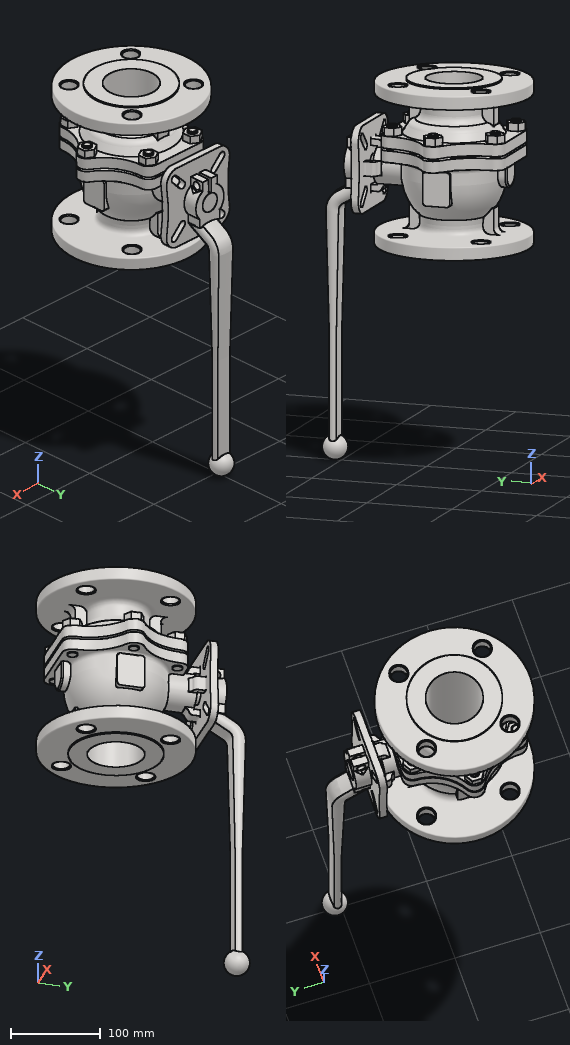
import cadquery as cq
import math


overall_height = 444.5
overall_depth = 243.5

bore_radius = 32.0
flange_radius = 89.0
flange_thickness = 16.0
flange_edge_fillet = 2.0
raised_face_radius = 53.5
raised_face_height = 2.0
valve_top = 103.5
valve_bottom = -87.5
bolt_hole_diameter = 19.0
bolt_hole_chamfer = 1.5
bolt_hole_offset = 49.0
upper_flange_bottom = valve_top - raised_face_height - flange_thickness
lower_flange_top = valve_bottom + raised_face_height + flange_thickness

stud_circle_radius = 70.2
stud_radius = 6.0
stud_tip_chamfer = 1.5
stud_tip_height = 2.5
stud_end_height = 1.5
lug_radius = 12.0
joint_top = 42.0
joint_gap_top = 28.0
joint_gap_bottom = 25.5
joint_bottom = 12.0
spigot_radius = 58.0
nut_across_flats = 19.5
nut_height = 9.5
stud_top = joint_top + nut_height + stud_tip_height
stud_bottom = joint_bottom - stud_end_height

upper_neck_radius = 37.5
lower_neck_radius = 38.2
neck_fillet = 8.5
ball_housing_radius = 58.5
ball_housing_z = -6.5
housing_flare = 5.0
lower_neck_top = -57.5

rib_width = 18.0
rib_reach = 50.0
rib_foot_fillet = 7.0
upper_rib_bottom = 46.5
lower_rib_top = -40.0
side_pad_reach = 59.5
side_pad_width = 32.0
side_pad_top = 8.5
side_pad_bottom = -31.0
side_pad_corner = 4.0
boss_radius = 15.0
boss_centre_z = -1.5
boss_reach = 67.0
boss_edge_fillet = 2.0

stem_z = -1.0
neck_radius = 22.2
neck_end = 88.0
stem_radius = 11.5
plate_front = 95.0
plate_thickness = 9.0
plate_back = plate_front + plate_thickness
plate_half = 50.2
plate_edge_half = 35.5
plate_side_half = 33.0
plate_corner_mid = 45.5
plate_side_dip = 2.5
plate_slot_width = 9.0
plate_slot_length = 26.5
plate_slot_circle_radius = 44.5
arm_width = 16.5
arm_root_depth = 5.5
arm_outer = 30.0
arm_foot_fillet = 2.0
arm_start = 78.0
arm_bend_start = 86.2

hub_radius = 22.2
hub_length = 18.2
hub_back = plate_back + hub_length
ear_top = 30.2
ear_width = 23.0
clamp_slot_width = 4.0
clamp_bolt_diameter = 10.0
clamp_nut_across_flats = 13.5
clamp_bolt_z = 22.2
clamp_bolt_y = 113.0
web_width = 32.0
web_bottom = -26.5
lever_width = 30.2
lever_edge_spacing = 22.5
lever_thickness = 18.0
lever_crown = 1.5
grip_width = 24.0
grip_edge_spacing = 19.0
grip_thickness = 11.5
lever_y = 139.5
lever_slope = 30.0
bend_radius = 17.5
bend_z = -54.2
taper_end_z = -189.5
knob_radius = 14.5
knob_y = overall_depth - flange_radius - knob_radius
knob_z = valve_top - overall_height + knob_radius - stem_z


def disc(radius, bottom, top):
    """Vertical cylinder around the flow axis."""
    return cq.Workplane("XY").workplane(offset=bottom).circle(radius).extrude(top - bottom)


def block(x_range, y_range, z_range):
    """Box between the given limits."""
    sizes = [high - low for low, high in (x_range, y_range, z_range)]
    return cq.Workplane("XY").box(*sizes, centered=False).translate((x_range[0], y_range[0], z_range[0]))


def stem_axis_plane(y):
    """Sketch plane across the stem; local X is +X and local Y is +Z, extruding towards -Y."""
    return cq.Workplane("XZ", origin=(0, y, 0))


def polar(radius, degrees, centre=(0, 0)):
    angle = math.radians(degrees)
    return (centre[0] + radius * math.cos(angle), centre[1] + radius * math.sin(angle))


def pipe_flange(bottom):
    """Disc with rounded rims and four bolt holes, chamfered at both ends."""
    top = bottom + flange_thickness
    flange = disc(flange_radius, bottom, top).edges().fillet(flange_edge_fillet)
    hole_radius = bolt_hole_diameter / 2
    rim_radius = hole_radius + bolt_hole_chamfer
    hole = (
        cq.Workplane("XZ")
        .moveTo(0, bottom)
        .lineTo(rim_radius, bottom)
        .lineTo(hole_radius, bottom + bolt_hole_chamfer)
        .lineTo(hole_radius, top - bolt_hole_chamfer)
        .lineTo(rim_radius, top)
        .lineTo(0, top)
        .close()
        .revolve(360, (0, 0, 0), (0, 1, 0))
    )
    for x in (-bolt_hole_offset, bolt_hole_offset):
        for y in (-bolt_hole_offset, bolt_hole_offset):
            flange = flange.cut(hole.translate((x, y, 0)))
    return flange


def upper_casing():
    """Neck that widens through a hollow and a rounded shoulder to the joint."""
    neck_bottom = 66.5
    hollow_mid = (38.9, 61.55)
    shoulder = (43.0, 57.5)
    shoulder_mid = (49.0, 54.5)
    shoulder_end = (52.0, 50.5)
    foot_radius = 58.0
    return (
        cq.Workplane("XZ")
        .moveTo(0, upper_flange_bottom)
        .lineTo(upper_neck_radius + neck_fillet, upper_flange_bottom)
        .radiusArc((upper_neck_radius, upper_flange_bottom - neck_fillet), -neck_fillet)
        .lineTo(upper_neck_radius, neck_bottom)
        .threePointArc(hollow_mid, shoulder)
        .threePointArc(shoulder_mid, shoulder_end)
        .lineTo(foot_radius, joint_top)
        .lineTo(0, joint_top)
        .close()
        .revolve(360, (0, 0, 0), (0, 1, 0))
    )


def lower_casing():
    """Ball housing, flared at the joint and closing on the lower neck."""
    flare_start = joint_bottom - housing_flare
    sphere_end_radius = 39.0
    sphere_end_z = ball_housing_z - math.sqrt(ball_housing_radius**2 - sphere_end_radius**2)
    diagonal = ball_housing_radius * math.sqrt(0.5)
    return (
        cq.Workplane("XZ")
        .moveTo(0, joint_bottom)
        .lineTo(ball_housing_radius + housing_flare, joint_bottom)
        .radiusArc((ball_housing_radius, flare_start), -housing_flare)
        .lineTo(ball_housing_radius, ball_housing_z)
        .threePointArc((diagonal, ball_housing_z - diagonal), (sphere_end_radius, sphere_end_z))
        .lineTo(lower_neck_radius, lower_neck_top)
        .lineTo(lower_neck_radius, lower_flange_top + neck_fillet)
        .radiusArc((lower_neck_radius + neck_fillet, lower_flange_top), -neck_fillet)
        .lineTo(0, lower_flange_top)
        .close()
        .revolve(360, (0, 0, 0), (0, 1, 0))
    )


def stud_position(degrees):
    return polar(stud_circle_radius, degrees)


def lug_point(lug_angle, direction):
    """Point on the round end of a lug, in the given direction from the lug centre."""
    return polar(lug_radius, direction, stud_position(lug_angle))


def joint_plate(bottom, top):
    """Six-lug plate; straight along +Y and -Y, scooped by arcs tangent to the other lugs."""
    scoop_floor = stud_circle_radius * (math.sqrt(3) - 1) + lug_radius
    outline = cq.Workplane("XY").workplane(offset=bottom).moveTo(*lug_point(0, 0))
    for side in (0, 180):
        outline = (
            outline.threePointArc(lug_point(side, side + 30), lug_point(side, side + 60))
            .threePointArc(polar(scoop_floor, side + 30), lug_point(side + 60, side))
            .threePointArc(lug_point(side + 60, side + 45), lug_point(side + 60, side + 90))
            .lineTo(*lug_point(side + 120, side + 90))
            .threePointArc(lug_point(side + 120, side + 135), lug_point(side + 120, side + 180))
            .threePointArc(polar(scoop_floor, side + 150), lug_point(side + 180, side + 120))
            .threePointArc(lug_point(side + 180, side + 150), lug_point(side + 180, side + 180))
        )
    return outline.close().extrude(top - bottom)


def stud_with_nut(degrees):
    stud = disc(stud_radius, stud_bottom, stud_top).faces(">Z").chamfer(stud_tip_chamfer)
    across_corners = nut_across_flats / math.cos(math.radians(30))
    nut = (
        cq.Workplane("XY")
        .workplane(offset=joint_top)
        .transformed(rotate=(0, 0, 30))
        .polygon(6, across_corners)
        .extrude(nut_height)
    )
    return stud.union(nut).translate((*stud_position(degrees), 0))


def casing_rib(direction, bottom, top, flange_face):
    """Rib on the +Y or -Y side (direction 1 or -1) with a rounded foot where it meets the flange."""
    depth = top - bottom
    foot_side = 1 if flange_face == top else -1
    rib = (
        cq.Workplane("YZ", origin=(-rib_width / 2, 0, 0))
        .lineTo(0, flange_face - foot_side * depth)
        .lineTo(direction * rib_reach, flange_face - foot_side * depth)
        .lineTo(direction * rib_reach, flange_face - foot_side * rib_foot_fillet)
        .radiusArc(
            (direction * (rib_reach + rib_foot_fillet), flange_face),
            direction * foot_side * rib_foot_fillet,
        )
        .lineTo(0, flange_face)
        .close()
    )
    return rib.extrude(rib_width)


def side_pads():
    """Flat pads on +X and -X, joined through the housing, with rounded corners."""
    bar = block(
        (-side_pad_reach, side_pad_reach),
        (-side_pad_width / 2, side_pad_width / 2),
        (side_pad_bottom, side_pad_top),
    )
    return bar.edges("|X").fillet(side_pad_corner)


def front_boss():
    """Pad on the -Y side with a half-round lower end."""
    outline = (
        stem_axis_plane(0)
        .moveTo(-boss_radius, joint_bottom)
        .lineTo(-boss_radius, boss_centre_z)
        .threePointArc((0, boss_centre_z - boss_radius), (boss_radius, boss_centre_z))
        .lineTo(boss_radius, joint_bottom)
        .close()
    )
    return outline.extrude(boss_reach).faces("<Y").edges("not >Z").chamfer(boss_edge_fillet)


def mounting_plate():
    """Square plate with rounded corners, dished sides on +X and -X, and a radial slot in each corner."""
    side_mid = plate_half - plate_side_dip
    plate = (
        stem_axis_plane(plate_back)
        .moveTo(plate_edge_half, plate_half)
        .lineTo(-plate_edge_half, plate_half)
        .threePointArc((-plate_corner_mid, plate_corner_mid), (-plate_half, plate_side_half))
        .threePointArc((-side_mid, 0), (-plate_half, -plate_side_half))
        .threePointArc((-plate_corner_mid, -plate_corner_mid), (-plate_edge_half, -plate_half))
        .lineTo(plate_edge_half, -plate_half)
        .threePointArc((plate_corner_mid, -plate_corner_mid), (plate_half, -plate_side_half))
        .threePointArc((side_mid, 0), (plate_half, plate_side_half))
        .threePointArc((plate_corner_mid, plate_corner_mid), (plate_edge_half, plate_half))
        .close()
        .extrude(plate_thickness)
    )
    slots = (
        stem_axis_plane(plate_back)
        .polarArray(plate_slot_circle_radius, 45, 360, 4)
        .slot2D(plate_slot_length, plate_slot_width)
        .extrude(plate_thickness)
    )
    return plate.cut(slots)


def plate_arm(degrees):
    """Arm from the stem neck to the mounting plate, turned around the stem axis."""
    root = neck_radius - arm_root_depth
    hollow_mid = (23.5, 80.5)
    hollow_end = (25.5, 82.0)
    bend_mid = (28.5, 83.5)
    arm = (
        cq.Workplane("XY")
        .workplane(offset=-arm_width / 2)
        .moveTo(root, arm_start)
        .lineTo(neck_radius, arm_start)
        .threePointArc(hollow_mid, hollow_end)
        .threePointArc(bend_mid, (arm_outer, arm_bend_start))
        .lineTo(arm_outer, plate_front - arm_foot_fillet)
        .radiusArc((arm_outer + arm_foot_fillet, plate_front), arm_foot_fillet)
        .lineTo(neck_radius, plate_front)
        .lineTo(neck_radius, neck_end)
        .lineTo(root, neck_end)
        .close()
        .extrude(arm_width)
    )
    return arm.rotate((0, 0, 0), (0, 1, 0), degrees)


def stem_support():
    """Neck, mounting plate, arms and stem, placed at the height of the stem."""
    support = stem_axis_plane(neck_end).circle(neck_radius).extrude(neck_end)
    support = support.union(mounting_plate())
    for degrees in range(0, 360, 90):
        support = support.union(plate_arm(degrees))
    support = support.union(stem_axis_plane(hub_back).circle(stem_radius).extrude(hub_back))
    return support.translate((0, 0, stem_z))


def build_valve():
    valve = upper_casing().union(lower_casing().union(side_pads()))
    valve = valve.union(disc(spigot_radius, joint_bottom, joint_top))
    valve = valve.union(joint_plate(joint_gap_top, joint_top))
    valve = valve.union(joint_plate(joint_bottom, joint_gap_bottom))
    valve = valve.union(pipe_flange(upper_flange_bottom))
    valve = valve.union(pipe_flange(lower_flange_top - flange_thickness))
    valve = valve.union(disc(raised_face_radius, valve_top - flange_thickness, valve_top))
    valve = valve.union(disc(raised_face_radius, valve_bottom, valve_bottom + flange_thickness))
    for direction in (-1, 1):
        valve = valve.union(casing_rib(direction, upper_rib_bottom, upper_flange_bottom, upper_flange_bottom))
        valve = valve.union(casing_rib(direction, lower_flange_top, lower_rib_top, lower_flange_top))
    valve = valve.union(front_boss())
    for degrees in range(0, 360, 60):
        valve = valve.union(stud_with_nut(degrees))
    valve = valve.union(stem_support())
    return valve.cut(disc(bore_radius, valve_bottom, valve_top))


def bar_outline(workplane, width, edge_spacing, thickness):
    """Four-sided section with slightly crowned +Y and -Y faces and bulging sides."""
    side = width / 2
    edge = edge_spacing / 2
    face = thickness / 2
    corner = face - lever_crown
    return (
        workplane.moveTo(-edge, corner)
        .threePointArc((0, face), (edge, corner))
        .threePointArc((side, 0), (edge, -corner))
        .threePointArc((0, -face), (-edge, -corner))
        .threePointArc((-side, 0), (-edge, corner))
        .close()
    )


def lever_outline(workplane):
    return bar_outline(workplane, lever_width, lever_edge_spacing, lever_thickness)


def grip_outline(workplane):
    return bar_outline(workplane, grip_width, grip_edge_spacing, grip_thickness)


def lever_hub():
    """Round hub with a split clamp above it and a web below it."""
    hub = stem_axis_plane(hub_back).circle(hub_radius).extrude(hub_length)
    ears = block((-ear_width / 2, ear_width / 2), (plate_back, hub_back), (0, ear_top))
    web = block((-web_width / 2, web_width / 2), (plate_back, hub_back), (web_bottom, 0))
    clamp_slot = block((-clamp_slot_width / 2, clamp_slot_width / 2), (plate_back, hub_back), (0, ear_top))
    bolt_axis = cq.Workplane("YZ", origin=(0, clamp_bolt_y, clamp_bolt_z))
    bolt_hole = bolt_axis.circle(clamp_bolt_diameter / 2).extrude(hub_radius, both=True)
    nut_across_corners = clamp_nut_across_flats / math.cos(math.radians(30))
    nut_axis = bolt_axis.transformed(rotate=(0, 0, 30))
    seats = nut_axis.polygon(6, nut_across_corners).extrude(hub_radius, both=True)
    seats = seats.cut(ears)
    return hub.union(web).cut(seats).union(ears).cut(clamp_slot).cut(bolt_hole)


def lever_arm():
    """Sloping arm, bend, tapered shank and grip."""
    bend_turn = 90 - lever_slope
    bend_end = cq.Workplane("XY", origin=(0, lever_y, bend_z))
    bend = lever_outline(bend_end).revolve(bend_turn, (0, -bend_radius, 0), (1, -bend_radius, 0))
    slope_start_y, slope_start_z = polar(bend_radius, bend_turn, (lever_y - bend_radius, bend_z))
    slope_length = (slope_start_y - plate_back + lever_thickness) / math.cos(math.radians(lever_slope))
    slope = (
        lever_outline(cq.Workplane("XY"))
        .extrude(slope_length)
        .rotate((0, 0, 0), (1, 0, 0), bend_turn)
        .translate((0, slope_start_y, slope_start_z))
    )
    behind_plate = block((-lever_width, lever_width), (plate_back, lever_y), (bend_z, 0))
    slope = slope.intersect(behind_plate)
    shank = grip_outline(lever_outline(bend_end).workplane(offset=taper_end_z - bend_z)).loft()
    grip = grip_outline(cq.Workplane("XY", origin=(0, lever_y, taper_end_z))).extrude(knob_z - taper_end_z)
    return slope.union(bend).union(shank).union(grip)


def build_lever():
    knob = cq.Workplane("XY").sphere(knob_radius).translate((0, knob_y, knob_z))
    stem_bore = stem_axis_plane(hub_back).circle(stem_radius).extrude(hub_length)
    lever = lever_hub().union(lever_arm()).cut(stem_bore).union(knob)
    return lever.translate((0, 0, stem_z))


valve = build_valve()
lever = build_lever()

result = cq.Compound.makeCompound([valve.val(), lever.val()])